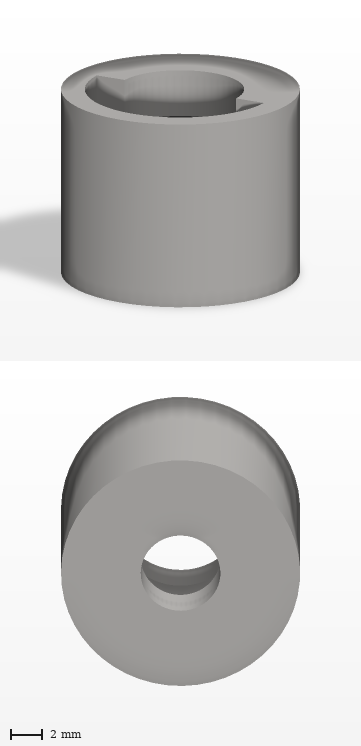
import cadquery as cq

body_diameter = 15.0
body_height = 12.0
chamber_diameter = 12.0
neck_diameter = 8.0
through_hole_diameter = 5.0
lip_thickness = 3.0
floor_thickness = lip_thickness

chamber_radius = chamber_diameter / 2
neck_radius = neck_diameter / 2
lip_underside = body_height - lip_thickness
chamber_height = lip_underside - floor_thickness
chamber_rounding = chamber_radius - neck_radius
rounding_start = lip_underside - chamber_rounding


def make_body():
    """Plain cylinder standing on the XY plane."""
    return cq.Workplane("XY").circle(body_diameter / 2).extrude(body_height)


def make_through_hole():
    """Central hole through the floor."""
    return cq.Workplane("XY").circle(through_hole_diameter / 2).extrude(body_height)


def make_chamber():
    """Round chamber below the lip, with its upper rim rounded."""
    return (
        cq.Workplane("XY", origin=(0, 0, floor_thickness))
        .circle(chamber_radius)
        .extrude(chamber_height)
        .faces(">Z")
        .edges()
        .fillet(chamber_rounding)
    )


def make_keyed_opening():
    """Opening with a narrow half on +Y and a wide half on -Y, leading into the chamber."""
    neck = (
        cq.Workplane("XY", origin=(0, 0, lip_underside))
        .circle(neck_radius)
        .extrude(lip_thickness)
    )
    wide_half = (
        cq.Workplane("XY", origin=(0, 0, rounding_start))
        .moveTo(-chamber_radius, 0)
        .threePointArc((0, -chamber_radius), (chamber_radius, 0))
        .close()
        .extrude(body_height - rounding_start)
    )
    return neck.union(wide_half)


cavity = make_chamber().union(make_keyed_opening()).union(make_through_hole()).clean()
result = make_body().cut(cavity).clean()